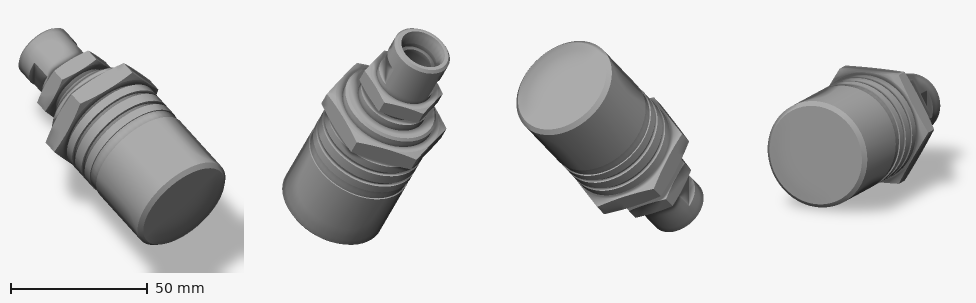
import cadquery as cq
import math

TOTAL_LENGTH = 88.0

STUB_RADIUS = 11.0
STUB_CHAMFER = 1.0
FLAT_START = 7.5
FLAT_LENGTH = 8.0
FLAT_HALF_WIDTH = 8.5

MOUTH_RADIUS = 8.6
SEAT_RADIUS = 7.5
CONE_HALF_ANGLE = 12.0
SEAT_DEPTH = 7.0
BORE_RADIUS = 6.0
BORE_DEPTH = 26.4

SMALL_HEX_START = 17.95
SMALL_HEX_LENGTH = 6.1
SMALL_HEX_FLATS = 26.8

COLLAR_START = 26.9
COLLAR_RADIUS = SMALL_HEX_FLATS / 2

BARREL_START = 30.1
BARREL_RADIUS = 17.95
BARREL_CHAMFER = 0.9

NUT_START = 34.0
NUT_LENGTH = 7.0
NUT_FLATS = 41.0

HEX_SIDES = 6
HEX_CHAMFER_ANGLE = 15.0

SLEEVE_START = 42.9
SLEEVE_RADIUS = 20.0
GROOVE_STARTS = (46.2, 52.0)
GROOVE_WIDTH = 1.85
GROOVE_RADIUS = 18.7
RECESS_START = 57.0
RECESS_LENGTH = 4.0
RECESS_RADIUS = 19.45
SLEEVE_CHAMFER = 1.5


def cylinder(start, length, radius):
    """Round bar along X."""
    return cq.Workplane("YZ", origin=(start, 0, 0)).circle(radius).extrude(length)


def ring(start, length, inner_radius, outer_radius):
    """Round ring along X."""
    return cq.Workplane("YZ", origin=(start, 0, 0)).circle(outer_radius).circle(inner_radius).extrude(length)


def chamfered_hexagon(start, length, across_flats):
    """Hexagonal prism along X, corners on +Y and -Y, conically chamfered at both ends."""
    flat_radius = across_flats / 2
    corner_radius = flat_radius / math.cos(math.pi / HEX_SIDES)
    chamfer_length = (corner_radius - flat_radius) * math.tan(math.radians(HEX_CHAMFER_ANGLE))
    end = start + length
    prism = cq.Workplane("YZ", origin=(start, 0, 0)).polygon(HEX_SIDES, 2 * corner_radius).extrude(length)
    envelope = (
        cq.Workplane("XY")
        .polyline([
            (start, 0),
            (start, flat_radius),
            (start + chamfer_length, corner_radius),
            (end - chamfer_length, corner_radius),
            (end, flat_radius),
            (end, 0),
        ])
        .close()
        .revolve(360, (0, 0, 0), (1, 0, 0))
    )
    return prism.intersect(envelope)


def inlet_bore():
    """Void of the inlet: cone, tube seat and blind bore."""
    cone_length = (MOUTH_RADIUS - SEAT_RADIUS) / math.tan(math.radians(CONE_HALF_ANGLE))
    return (
        cq.Workplane("XY")
        .polyline([
            (0, 0),
            (0, MOUTH_RADIUS),
            (cone_length, SEAT_RADIUS),
            (SEAT_DEPTH, SEAT_RADIUS),
            (SEAT_DEPTH, BORE_RADIUS),
            (BORE_DEPTH, BORE_RADIUS),
            (BORE_DEPTH, 0),
        ])
        .close()
        .revolve(360, (0, 0, 0), (1, 0, 0))
    )


def wrench_flat(side):
    """Material removed from the stub to leave one flat on the +Y (1) or -Y (-1) side."""
    depth = STUB_RADIUS - FLAT_HALF_WIDTH
    return (
        cq.Workplane("XY")
        .box(FLAT_LENGTH, depth, 2 * STUB_RADIUS, centered=(False, True, True))
        .translate((FLAT_START, side * (FLAT_HALF_WIDTH + depth / 2), 0))
    )


def make_coupling():
    """Turned coupling: stub, fixed hexagon, collar, barrel and grooved sleeve in one piece."""
    stub = cylinder(0, COLLAR_START, STUB_RADIUS).faces("<X").chamfer(STUB_CHAMFER)
    for side in (1, -1):
        stub = stub.cut(wrench_flat(side))

    fixed_hexagon = chamfered_hexagon(SMALL_HEX_START, SMALL_HEX_LENGTH, SMALL_HEX_FLATS)
    collar = cylinder(COLLAR_START, BARREL_START - COLLAR_START, COLLAR_RADIUS)
    barrel = cylinder(BARREL_START, SLEEVE_START - BARREL_START, BARREL_RADIUS)
    barrel = barrel.faces("<X").chamfer(BARREL_CHAMFER)

    sleeve = cylinder(SLEEVE_START, TOTAL_LENGTH - SLEEVE_START, SLEEVE_RADIUS)
    sleeve = sleeve.faces(">X").chamfer(SLEEVE_CHAMFER)
    for groove_start in GROOVE_STARTS:
        sleeve = sleeve.cut(ring(groove_start, GROOVE_WIDTH, GROOVE_RADIUS, SLEEVE_RADIUS))
    sleeve = sleeve.cut(ring(RECESS_START, RECESS_LENGTH, RECESS_RADIUS, SLEEVE_RADIUS))

    coupling = stub.union(fixed_hexagon).union(collar).union(barrel).union(sleeve)
    return coupling.cut(inlet_bore())


def make_nut():
    """Hexagonal nut that sits on the barrel."""
    blank = chamfered_hexagon(NUT_START, NUT_LENGTH, NUT_FLATS)
    return blank.cut(cylinder(NUT_START, NUT_LENGTH, BARREL_RADIUS))


coupling = make_coupling()
nut = make_nut()

result = cq.Compound.makeCompound([coupling.val(), nut.val()])